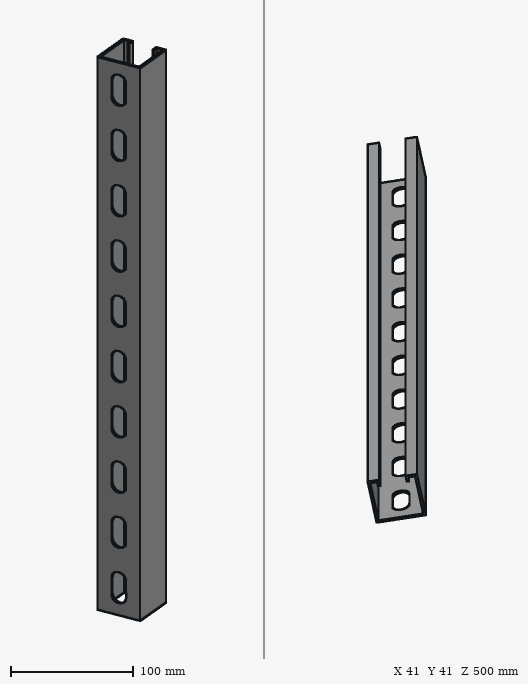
import cadquery as cq

length = 500.0
width = 41.0
depth = 41.0
wall = 2.0

opening = 22.0
lip_depth = 6.0

slot_count = 10
slot_pitch = length / slot_count
slot_length = 28.0
slot_width = 14.0


def channel():
    """Lipped C-channel along Z, with its open side facing +Y."""
    half = width / 2
    back = depth / 2
    lip = opening / 2
    right_outline = [
        (half, -back),
        (half, back),
        (lip, back),
        (lip, back - lip_depth),
        (lip + wall, back - lip_depth),
        (lip + wall, back - wall),
        (half - wall, back - wall),
        (half - wall, -back + wall),
    ]
    left_outline = [(-x, y) for x, y in reversed(right_outline)]
    return cq.Workplane("XY").polyline(right_outline + left_outline).close().extrude(length)


def web_slots():
    """Row of upright rounded slots through the web on the -Y side."""
    centres = [(0, slot_pitch * (i + 0.5)) for i in range(slot_count)]
    return (
        cq.Workplane("XZ", origin=(0, -depth / 2 + wall, 0))
        .pushPoints(centres)
        .slot2D(slot_length, slot_width, 90)
        .extrude(wall)
    )


result = channel().cut(web_slots())